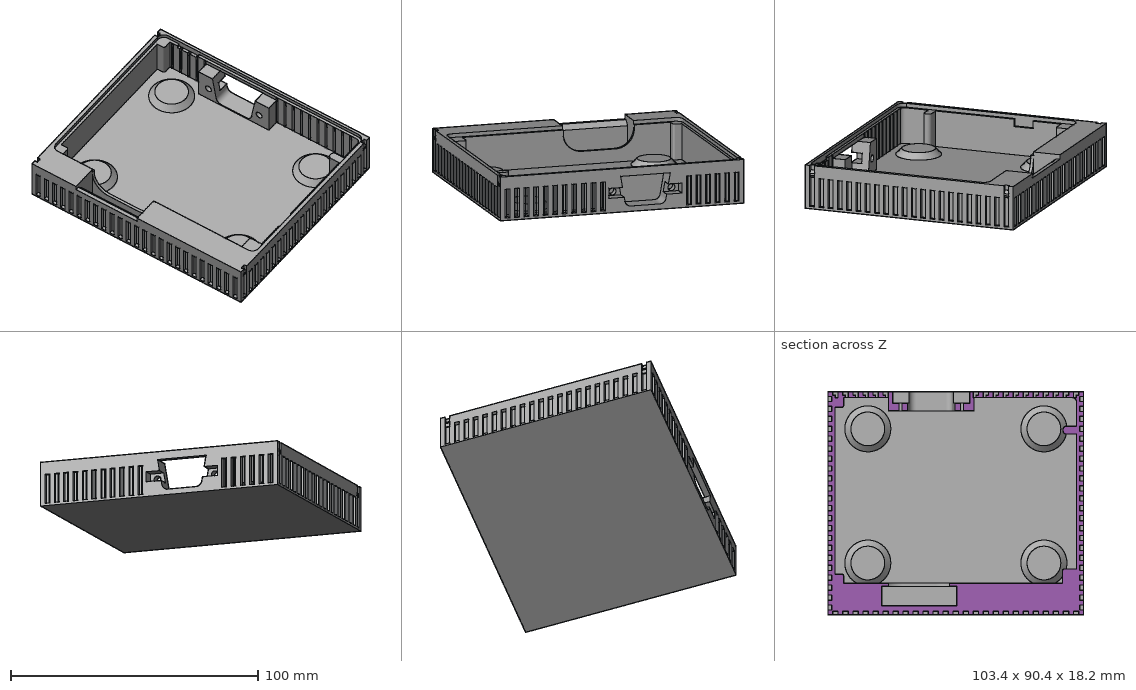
import cadquery as cq
import math

length = 103.4
width = 90.4
height = 18.2

floor_top = 1.8
ledge_top = 16.6
mount_top = 14.9

side_wall = 2.9
back_wall = 2.5
front_wall = 12.8
ledge_width = 1.2
lip_radius = 3.0
cavity_radius = lip_radius - ledge_width
cavity_left = side_wall
cavity_right = length - side_wall
cavity_front = front_wall
cavity_back = width - back_wall
lip_left = cavity_left - ledge_width
lip_right = cavity_right + ledge_width
lip_front = cavity_front - ledge_width
lip_back = cavity_back + ledge_width

slots_along_x = 25
slots_along_y = 22
slot_width_x = length / (2 * slots_along_x + 1)
slot_width_y = width / (2 * slots_along_y + 1)
slot_bottom = 1.0
slot_top = 13.0
slot_depth = 1.4

groove_width = slot_width_x / 2
groove_depth = back_wall - slot_depth
groove_bottom = slot_bottom
groove_top = 16.1

catch_depth = 1.2
nub_bottom = 12.8
nub_tip_bottom = 14.1
nub_tip_top = 14.9
nub_top = 16.1
nub_setback = 0.2

dome_top_radius = 6.8
dome_height = 2.5
dome_base_radius = dome_top_radius + dome_height
dome_x = (16.1, 87.4)
dome_y = (21.0, 75.3)

pad_radius = 0.8
left_pad_right = 6.4
back_pad_front = 84.0
front_pad_back = 16.5
right_pad_left = 94.8
right_pad_back = 18.6
rib_left = 95.0
rib_width = 3.3
rib_y = 74.8
rib_radius = 1.5

side_notch_depth = 3.1
side_notch_front = 30.7
side_notch_back = 39.0
back_notch_depth = 1.0
back_notch_left = 10.0
back_notch_right = 20.0

port_x = 41.8
mount_width = 34.7
mount_front = 82.5
mount_left = port_x - mount_width / 2
mount_right = port_x + mount_width / 2
port_top_width = 21.1
port_bottom = 2.3
port_taper = 10.0
port_radius = 2.6
flange_width = 31.0
flange_bottom = 6.1
flange_top = 10.2
flange_front = 85.7
screw_spacing = 25.0
screw_z = 7.8
screw_diameter = 2.9

finger_left = 21.8
finger_right = 52.0
sill_top = 16.3
sill_depth = 1.7
sill_chamfer = 2.1
window_bottom = 7.2
window_radius = 8.0


def box(x0, x1, y0, y1, z0, z1):
    return cq.Workplane("XY").box(x1 - x0, y1 - y0, z1 - z0, centered=False).translate((x0, y0, z0))


def make_shell():
    lip = box(lip_left, lip_right, lip_front, lip_back, ledge_top, height)
    cavity = box(cavity_left, cavity_right, cavity_front, cavity_back, floor_top, height)
    body = box(0, length, 0, width, 0, height)
    return body.cut(lip.edges("|Z").fillet(lip_radius)).cut(cavity.edges("|Z").fillet(cavity_radius))


def make_dome(x, y):
    return (
        cq.Workplane("XY", origin=(x, y, floor_top))
        .circle(dome_base_radius)
        .workplane(offset=dome_height)
        .circle(dome_top_radius)
        .loft()
    )


def make_pad(x0, x1, y0, y1, rounded_edges, radius):
    return box(x0, x1, y0, y1, floor_top, ledge_top).edges("|Z").edges(rounded_edges).fillet(radius)


def make_slots():
    """Grip slots on all four sides; the back ones leave out the connector mount."""
    slots = []
    for i in range(slots_along_x):
        x0 = (2 * i + 1) * slot_width_x
        x1 = x0 + slot_width_x
        slots.append(box(x0, x1, 0, slot_depth, slot_bottom, slot_top))
        if x1 < mount_left or x1 > mount_right:
            groove_left = x0 if x0 > port_x else x1 - groove_width
            slots.append(box(x0, x1, width - slot_depth, width, slot_bottom, slot_top))
            slots.append(box(groove_left, groove_left + groove_width, cavity_back, cavity_back + groove_depth,
                             groove_bottom, groove_top))
    for i in range(slots_along_y):
        y0 = (2 * i + 1) * slot_width_y
        y1 = y0 + slot_width_y
        slots.append(box(0, slot_depth, y0, y1, slot_bottom, slot_top))
        slots.append(box(length - slot_depth, length, y0, y1, slot_bottom, slot_top))
    return slots


def make_catch(y):
    """Channel from the end slot up to the rim, less the nub left standing in it."""
    return (
        cq.Workplane("XZ", origin=(0, y, 0))
        .moveTo(0, nub_bottom)
        .lineTo(catch_depth, nub_bottom)
        .lineTo(nub_setback, nub_tip_bottom)
        .lineTo(nub_setback, nub_tip_top)
        .lineTo(catch_depth, nub_top)
        .lineTo(catch_depth, height)
        .lineTo(0, height)
        .close()
        .extrude(-slot_width_y)
    )


def make_port():
    """Tapered connector opening, with a wider flange pocket towards the outside."""
    top_half = port_top_width / 2
    bottom_half = top_half - (mount_top - port_bottom) * math.tan(math.radians(port_taper))
    opening = (
        cq.Workplane("XZ", origin=(port_x, width, 0))
        .moveTo(-top_half, mount_top)
        .lineTo(-bottom_half, port_bottom)
        .lineTo(bottom_half, port_bottom)
        .lineTo(top_half, mount_top)
        .close()
        .extrude(width - mount_front)
        .edges("|Y and <Z")
        .fillet(port_radius)
    )
    flange_left = port_x - flange_width / 2
    flange_right = port_x + flange_width / 2
    return opening.union(box(flange_left, flange_right, flange_front, width, flange_bottom, flange_top))


def make_screw_holes():
    return (
        cq.Workplane("XZ", origin=(port_x, width, screw_z))
        .pushPoints([(-screw_spacing / 2, 0), (screw_spacing / 2, 0)])
        .circle(screw_diameter / 2)
        .extrude(width - mount_front)
    )


def make_finger_notch():
    sill_back = sill_depth + sill_chamfer
    notch = (
        cq.Workplane("YZ", origin=(finger_left, 0, 0))
        .moveTo(0, height)
        .lineTo(0, sill_top)
        .lineTo(sill_depth, sill_top)
        .lineTo(sill_back, sill_top - sill_chamfer)
        .lineTo(sill_back, floor_top)
        .lineTo(lip_front, floor_top)
        .lineTo(lip_front, height)
        .close()
        .extrude(finger_right - finger_left)
    )
    window = box(finger_left, finger_right, lip_front, cavity_front, window_bottom, height)
    return notch.union(window.edges("|Y and <Z").fillet(window_radius))


result = make_shell()

for dome_center_x in dome_x:
    for dome_center_y in dome_y:
        result = result.union(make_dome(dome_center_x, dome_center_y))
result = result.union(make_pad(lip_left, left_pad_right, back_pad_front, lip_back, ">X and <Y", pad_radius))
result = result.union(make_pad(lip_left, left_pad_right, lip_front, front_pad_back, ">X and >Y", pad_radius))
result = result.union(make_pad(right_pad_left, lip_right, lip_front, right_pad_back, "<X and >Y", pad_radius))
rib_front = rib_y - rib_width / 2
result = result.union(make_pad(rib_left, lip_right, rib_front, rib_front + rib_width, "<X", rib_radius))
result = result.union(box(mount_left, mount_right, mount_front, cavity_back, floor_top, mount_top))

result = result.cut(
    box(cavity_right, lip_right, side_notch_front, side_notch_back, ledge_top - side_notch_depth, ledge_top)
)
result = result.cut(
    box(back_notch_left, back_notch_right, cavity_back, lip_back, ledge_top - back_notch_depth, ledge_top)
)

result = result.cut(make_port()).cut(make_screw_holes()).cut(make_finger_notch())

for slot in make_slots():
    result = result.cut(slot)
for catch_y in (slot_width_y, width - 2 * slot_width_y):
    catch = make_catch(catch_y)
    result = result.cut(catch).cut(catch.mirror("YZ").translate((length, 0, 0)))